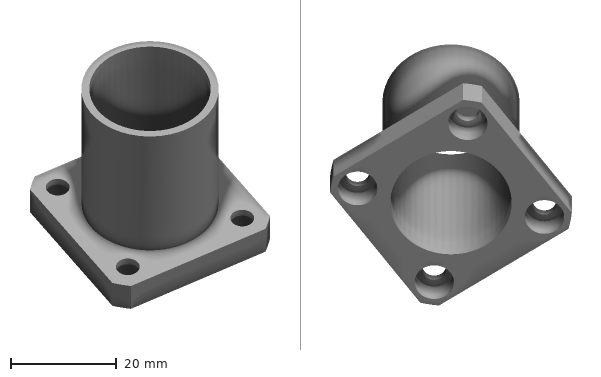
import cadquery as cq

total_height = 36.0
flange_side = 35.0
flange_thickness = 6.0
corner_circle_diameter = 46.0

sleeve_outer_diameter = 26.0
sleeve_bore_diameter = 23.0

hole_diameter = 4.5
hole_spacing = 25.4
counterbore_diameter = 7.5
counterbore_depth = 4.5


def make_flange():
    square = cq.Workplane("XY").rect(flange_side, flange_side).extrude(flange_thickness)
    disc = cq.Workplane("XY").circle(corner_circle_diameter / 2).extrude(flange_thickness)
    return square.intersect(disc)


def make_sleeve():
    return cq.Workplane("XY").circle(sleeve_outer_diameter / 2).extrude(total_height)


def make_bore():
    return cq.Workplane("XY").circle(sleeve_bore_diameter / 2).extrude(total_height)


def make_hole_pattern(diameter, depth):
    return (
        cq.Workplane("XY")
        .rect(hole_spacing, hole_spacing, forConstruction=True)
        .vertices()
        .circle(diameter / 2)
        .extrude(depth)
    )


mounting_holes = make_hole_pattern(hole_diameter, flange_thickness)
counterbores = make_hole_pattern(counterbore_diameter, counterbore_depth)

result = (
    make_flange()
    .union(make_sleeve())
    .cut(make_bore())
    .cut(mounting_holes)
    .cut(counterbores)
)